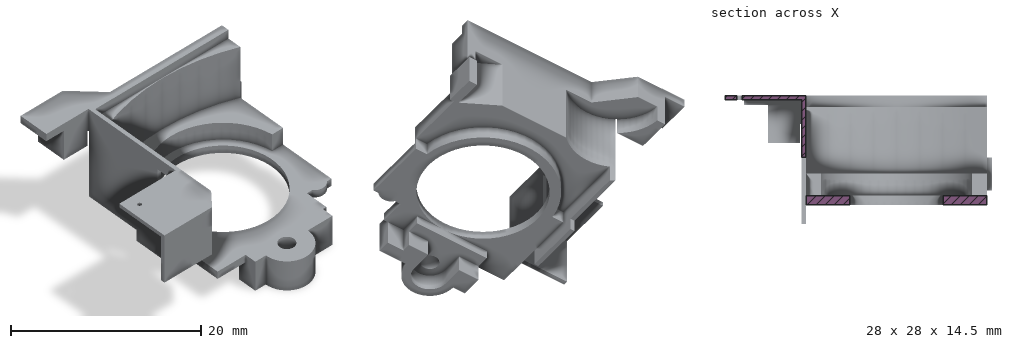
import cadquery as cq
import math

FLOOR_TOP = -8.2
WALL_BOTTOM = -10.0
PLATE_TOP = -10.5
PLATE_BOTTOM = -11.5
STEP_BOTTOM = -12.5
PART_BOTTOM = -14.5

BODY_HALF = 9.5
SIDE_WALL = 1.0
THIN_WALL = 0.5
WALL_OUTER_X = -BODY_HALF - SIDE_WALL
FRONT_WALL_Y = -BODY_HALF - THIN_WALL
BORE_RADIUS = 7.0

FLOOR_EDGE_X = -1.0
RECESS_RADIUS = 8.0
WEB = 0.2

LENS_TOP = -1.2
LENS_MID_X = -9.45
LENS_END_X = -7.65

PLATE_CORNER_X = 6.5
PLATE_SHOULDER_Y = 6.0
BUMP_Y = 7.8
BUMP_HALF_WIDTH = 1.05
BUMP_HEIGHT = 0.5

FRONT_WALL_BOTTOM = -12.0
FRONT_TONGUE_BOTTOM = -13.5
FRONT_TONGUE_LEFT = -2.5
FRONT_TONGUE_RIGHT = 4.0
WINDOW_X = (0.7, 2.5)
WINDOW_Z = (-7.5, -1.6)

TAB_LEFT_X = 3.5
TAB_RIGHT_X = 10.5
TAB_END_Y = -18.0
SKIRT_BOTTOM = -6.5
BEND_START_X = 8.5
BEND_END_Y = -11.2
PIN_HOLE = (5.0, -16.5)
PIN_HOLE_DIAMETER = 0.5

BRACKET_LEFT_X = -14.0
BRACKET_RIGHT_X = -10.0
BRACKET_TOP_Y = -6.5
BRACKET_END_Y = -16.0
BRACKET_LEG_Y = -13.5
BRACKET_LEG_BOTTOM = -5.0
BRACKET_THICKNESS = 1.0

SCOOP_CENTER = (-14.5, -7.0)
SCOOP_RADIUS = 5.5
SCOOP_TOP = -3.0

NOTCH_START_Y = 5.0
NOTCH_ANGLE = 30.0
NOTCH_TOP = -4.0
NOTCH_END_Y = 8.5
CATCH_TOP = -6.5
CATCH_X = (-11.5, -8.0)
CATCH_Y = (9.0, 10.0)

BLOCK_BACK_X = 11.0
BLOCK_HALF_Y = 5.5
STEP_Y = 3.5
UPPER_STEP_X = 7.0
LOWER_STEP_X = 8.5
LUG_CENTER = (BLOCK_BACK_X, -1.0)
LUG_RADIUS = 3.0
LUG_HOLE_RADIUS = 1.0
LUG_SLOT_RADIUS = 2.0


def box(x_range, y_range, z_range):
    """Axis-aligned box between the given limits."""
    size = [high - low for low, high in (x_range, y_range, z_range)]
    corner = (x_range[0], y_range[0], z_range[0])
    return cq.Workplane("XY").box(*size, centered=False).translate(corner)


def prism(points, z_range):
    """Upright prism over a polygon in the XY plane."""
    bottom, top = z_range
    return cq.Workplane("XY").workplane(offset=bottom).polyline(points).close().extrude(top - bottom)


def cylinder(center, radius, z_range):
    """Upright cylinder."""
    bottom, top = z_range
    return cq.Workplane("XY").workplane(offset=bottom).center(*center).circle(radius).extrude(top - bottom)


def lower_plate():
    """Flat plate on the +X side, with a rounded bump on its corner and a ring round the bore."""
    plate = (
        cq.Workplane("XY").workplane(offset=PLATE_BOTTOM)
        .moveTo(FLOOR_EDGE_X, -BODY_HALF)
        .lineTo(BODY_HALF, -BODY_HALF)
        .lineTo(BODY_HALF, PLATE_SHOULDER_Y)
        .lineTo(PLATE_CORNER_X, PLATE_SHOULDER_Y)
        .lineTo(PLATE_CORNER_X, BUMP_Y - BUMP_HALF_WIDTH)
        .threePointArc((PLATE_CORNER_X + BUMP_HEIGHT, BUMP_Y), (PLATE_CORNER_X, BUMP_Y + BUMP_HALF_WIDTH))
        .lineTo(PLATE_CORNER_X, BODY_HALF)
        .lineTo(FLOOR_EDGE_X, BODY_HALF)
        .close()
        .extrude(PLATE_TOP - PLATE_BOTTOM)
    )
    return plate.union(cylinder((0, 0), RECESS_RADIUS, (PLATE_BOTTOM, PLATE_TOP)))


def raised_floor():
    """Floor on the -X side with a thin web down to the plate, cleared inside the recess radius."""
    y_range = (-BODY_HALF, BODY_HALF)
    floor = box((-BODY_HALF, FLOOR_EDGE_X), y_range, (WALL_BOTTOM, FLOOR_TOP))
    web_heights = (PLATE_BOTTOM, WALL_BOTTOM)
    web = cylinder((0, 0), RECESS_RADIUS + WEB, web_heights)
    web = web.union(box((FLOOR_EDGE_X - WEB, 0), y_range, web_heights))
    left_of_edge = box((-BODY_HALF, FLOOR_EDGE_X), y_range, web_heights)
    floor = floor.union(web.intersect(left_of_edge))
    return floor.cut(cylinder((0, 0), RECESS_RADIUS, (PLATE_BOTTOM, FLOOR_TOP)))


def side_wall():
    """Wall on the -X side with the lens-shaped thickening along its inner face."""
    wall = box((WALL_OUTER_X, -BODY_HALF), (-BODY_HALF, BODY_HALF), (WALL_BOTTOM, 0))
    lens = (
        cq.Workplane("XY").workplane(offset=WALL_BOTTOM)
        .moveTo(-BODY_HALF, -BODY_HALF)
        .lineTo(LENS_END_X, -BODY_HALF)
        .threePointArc((LENS_MID_X, 0), (LENS_END_X, BODY_HALF))
        .lineTo(-BODY_HALF, BODY_HALF)
        .close()
        .extrude(LENS_TOP - WALL_BOTTOM)
    )
    return wall.union(lens)


def bend_inner_points():
    """Inner corners of the bent skirt, one wall thickness inside its outer faces."""
    run = TAB_RIGHT_X - BEND_START_X
    drop = -BODY_HALF - BEND_END_Y
    length = math.hypot(run, drop)
    slope = drop / run
    inner_drop = THIN_WALL * length / run
    start_x = BEND_START_X + (THIN_WALL - inner_drop) / slope
    end_x = TAB_RIGHT_X - THIN_WALL
    end_y = -BODY_HALF - inner_drop - slope * (end_x - BEND_START_X)
    return (start_x, FRONT_WALL_Y), (end_x, end_y)


def front_wall():
    """Thin wall on the -Y side with a stepped lower edge and a window."""
    y_range = (FRONT_WALL_Y, -BODY_HALF)
    wall = box((BRACKET_RIGHT_X, FRONT_TONGUE_RIGHT), y_range, (FRONT_WALL_BOTTOM, 0))
    tongue_x = (FRONT_TONGUE_LEFT, FRONT_TONGUE_RIGHT)
    wall = wall.union(box(tongue_x, y_range, (FRONT_TONGUE_BOTTOM, 0)))
    return wall.cut(box(WINDOW_X, y_range, WINDOW_Z))


def front_tab():
    """Top plate at the front right with a skirt that bends round from the front wall."""
    bend_start = (BEND_START_X, -BODY_HALF)
    bend_end = (TAB_RIGHT_X, BEND_END_Y)
    inner_start, inner_end = bend_inner_points()
    skirt_outline = [
        (FRONT_TONGUE_RIGHT, -BODY_HALF), bend_start, bend_end, (TAB_RIGHT_X, TAB_END_Y),
        (TAB_RIGHT_X - THIN_WALL, TAB_END_Y), inner_end, inner_start, (FRONT_TONGUE_RIGHT, FRONT_WALL_Y),
    ]
    plate_outline = [
        (TAB_LEFT_X, -BODY_HALF), bend_start, bend_end, (TAB_RIGHT_X, TAB_END_Y), (TAB_LEFT_X, TAB_END_Y),
    ]
    plate_heights = (-THIN_WALL, 0)
    tab = prism(skirt_outline, (SKIRT_BOTTOM, 0)).union(prism(plate_outline, plate_heights))
    return tab.cut(cylinder(PIN_HOLE, PIN_HOLE_DIAMETER / 2, plate_heights))


def bracket():
    """Front left bracket: a solid leg under a thin top plate that reaches further out."""
    diagonal_end_y = BRACKET_TOP_Y - (WALL_OUTER_X - BRACKET_LEFT_X)
    leg_outline = [
        (WALL_OUTER_X, BRACKET_TOP_Y), (BRACKET_LEFT_X, diagonal_end_y), (BRACKET_LEFT_X, BRACKET_LEG_Y),
        (BRACKET_RIGHT_X, BRACKET_LEG_Y), (BRACKET_RIGHT_X, BRACKET_TOP_Y),
    ]
    leg = prism(leg_outline, (BRACKET_LEG_BOTTOM, 0))
    x_range = (BRACKET_LEFT_X, BRACKET_RIGHT_X)
    return leg.union(box(x_range, (BRACKET_END_Y, BRACKET_LEG_Y), (-BRACKET_THICKNESS, 0)))


def lug_block():
    """Stepped block under the plate, ending in a round lug."""
    y_low = -BLOCK_HALF_Y
    block = box((BODY_HALF, BLOCK_BACK_X), (y_low, BLOCK_HALF_Y), (PART_BOTTOM, PLATE_TOP))
    block = block.union(box((UPPER_STEP_X, BODY_HALF), (y_low, STEP_Y), (STEP_BOTTOM, PLATE_BOTTOM)))
    block = block.union(box((LOWER_STEP_X, BODY_HALF), (y_low, STEP_Y), (PART_BOTTOM, STEP_BOTTOM)))
    lug_x, lug_y = LUG_CENTER
    lug = cylinder(LUG_CENTER, LUG_RADIUS, (PART_BOTTOM, PLATE_TOP))
    outer_half = box(
        (lug_x, lug_x + LUG_RADIUS), (lug_y - LUG_RADIUS, lug_y + LUG_RADIUS), (PART_BOTTOM, PLATE_TOP)
    )
    return block.union(lug.intersect(outer_half))


def lug_cutouts():
    """Through hole of the lug and the round-ended slot below it, open towards -X."""
    slot_heights = (PART_BOTTOM, STEP_BOTTOM)
    lug_x, lug_y = LUG_CENTER
    slot_y = (lug_y - LUG_SLOT_RADIUS, lug_y + LUG_SLOT_RADIUS)
    slot = box((LOWER_STEP_X, lug_x), slot_y, slot_heights)
    slot = slot.union(cylinder(LUG_CENTER, LUG_SLOT_RADIUS, slot_heights))
    return slot.union(cylinder(LUG_CENTER, LUG_HOLE_RADIUS, (PART_BOTTOM, PLATE_TOP)))


def notch(end_y, top):
    """Wedge cut into the side wall along the slanted face, ending square at end_y."""
    depth = (end_y - NOTCH_START_Y) * math.tan(math.radians(NOTCH_ANGLE))
    outline = [
        (WALL_OUTER_X, NOTCH_START_Y), (WALL_OUTER_X + depth, end_y), (WALL_OUTER_X, end_y),
    ]
    return prism(outline, (WALL_BOTTOM, top))


body = lower_plate().union(lug_block()).union(raised_floor()).union(side_wall())
body = body.union(front_wall()).union(front_tab()).union(bracket())

body = body.cut(notch(NOTCH_END_Y, NOTCH_TOP)).cut(notch(CATCH_Y[0], CATCH_TOP))
body = body.union(box(CATCH_X, CATCH_Y, (WALL_BOTTOM, CATCH_TOP)))
body = body.cut(cylinder(SCOOP_CENTER, SCOOP_RADIUS, (PART_BOTTOM, SCOOP_TOP)))
body = body.cut(cylinder((0, 0), BORE_RADIUS, (PLATE_BOTTOM, PLATE_TOP)))
result = body.cut(lug_cutouts())